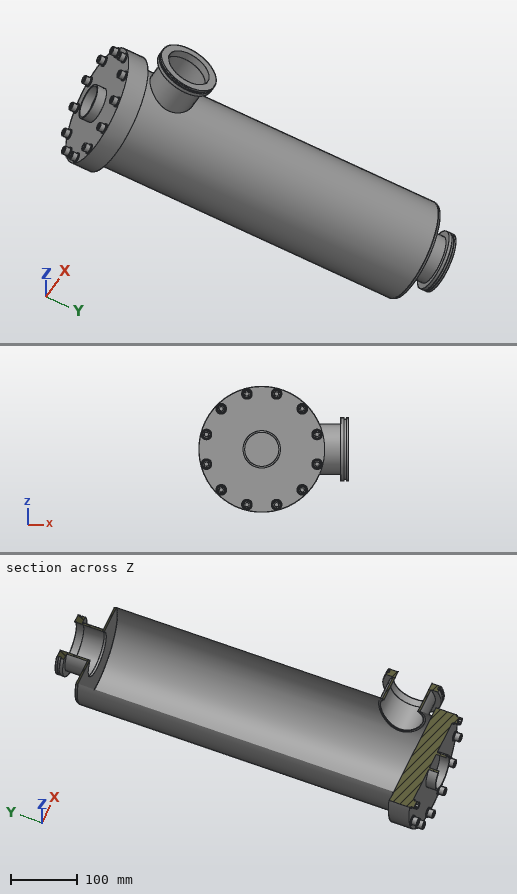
import cadquery as cq


BASE_DIAMETER = 189.0
BASE_THICKNESS = 33.5
BOSS_OUTER_DIAMETER = 56.0
BOSS_INNER_DIAMETER = 51.0
BOSS_HEIGHT = 15.0

SCREW_COUNT = 12
SCREW_CIRCLE_RADIUS = 86.0
WASHER_DIAMETER = 16.0
WASHER_THICKNESS = 2.0
HEAD_DIAMETER = 13.0
HEAD_HEIGHT = 9.0
SOCKET_SIDES = 6
SOCKET_ACROSS_FLATS = 6.0
HEAD_CHAMFER = 1.0
SOCKET_DEPTH = 5.0

SHELL_OUTER_DIAMETER = 159.0
SHELL_INNER_DIAMETER = 156.0
SHELL_END_Y = 545.0
END_PLATE_THICKNESS = 3.5

END_PIPE_OUTER_DIAMETER = 77.0
END_PIPE_INNER_DIAMETER = 70.5
SIDE_PIPE_OUTER_DIAMETER = 76.0
SIDE_PIPE_INNER_DIAMETER = 70.0
CLAMP_DIAMETER = 95.0
CLAMP_THICKNESS = 12.0
GROOVE_DIAMETER = 91.0
GROOVE_WIDTH = 3.5
GROOVE_FROM_FACE = 3.0
OVERALL_LENGTH = 609.0
SIDE_PORT_Y = 83.5
SIDE_PORT_REACH = 130.5

END_PORT_FACE_Y = OVERALL_LENGTH - BOSS_HEIGHT
END_PLATE_FACE_Y = SHELL_END_Y + END_PLATE_THICKNESS

ALONG_X = cq.Vector(1, 0, 0)
ALONG_Y = cq.Vector(0, 1, 0)


def cylinder(diameter, length, start, direction):
    """Solid cylinder that runs from the centre of its start face along the direction."""
    return cq.Workplane(cq.Solid.makeCylinder(diameter / 2, length, start, direction))


def ring(outer_diameter, inner_diameter, length, start, direction):
    """Cylinder with a bore right through it."""
    outside = cylinder(outer_diameter, length, start, direction)
    return outside.cut(cylinder(inner_diameter, length, start, direction))


def make_screw():
    """Washer and hexagon-socket head that stand on the base face, centred on the Y axis."""
    length = WASHER_THICKNESS + HEAD_HEIGHT
    washer = cylinder(WASHER_DIAMETER, WASHER_THICKNESS, cq.Vector(), -ALONG_Y)
    head = cylinder(HEAD_DIAMETER, length, cq.Vector(), -ALONG_Y).faces("<Y").chamfer(HEAD_CHAMFER)
    socket = (
        cq.Workplane("XZ", origin=(0, -length, 0))
        .polygon(SOCKET_SIDES, SOCKET_ACROSS_FLATS, circumscribed=True)
        .extrude(-SOCKET_DEPTH)
    )
    return washer.union(head).cut(socket)


def make_base():
    """Base disc, one piece with its boss ring and its circle of screws."""
    base = cylinder(BASE_DIAMETER, BASE_THICKNESS, cq.Vector(), ALONG_Y)
    base = base.union(ring(BOSS_OUTER_DIAMETER, BOSS_INNER_DIAMETER, BOSS_HEIGHT, cq.Vector(), -ALONG_Y))
    pitch = 360 / SCREW_COUNT
    screw = make_screw().translate((SCREW_CIRCLE_RADIUS, 0, 0))
    for i in range(SCREW_COUNT):
        base = base.union(screw.rotate((0, 0, 0), (0, 1, 0), (i + 0.5) * pitch))
    return base


def make_shell():
    """Long thin tube on the base, with the side port's opening in its wall."""
    start = cq.Vector(0, BASE_THICKNESS, 0)
    length = SHELL_END_Y - BASE_THICKNESS
    shell = ring(SHELL_OUTER_DIAMETER, SHELL_INNER_DIAMETER, length, start, ALONG_Y)
    opening = cylinder(SIDE_PIPE_INNER_DIAMETER, SIDE_PORT_REACH, cq.Vector(0, SIDE_PORT_Y, 0), ALONG_X)
    return shell.cut(opening)


def make_end_plate():
    """Plate that closes the end of the shell round the end port and tapers toward its outer face."""
    start = cq.Vector(0, SHELL_END_Y, 0)
    large_radius = SHELL_OUTER_DIAMETER / 2
    small_radius = SHELL_INNER_DIAMETER / 2
    cone = cq.Solid.makeCone(large_radius, small_radius, END_PLATE_THICKNESS, start, ALONG_Y)
    return cq.Workplane(cone).cut(cylinder(END_PIPE_INNER_DIAMETER, END_PLATE_THICKNESS, start, ALONG_Y))


def make_end_pipe():
    """Pipe from the end plate to its clamp flange."""
    length = END_PORT_FACE_Y - CLAMP_THICKNESS - END_PLATE_FACE_Y
    start = cq.Vector(0, END_PLATE_FACE_Y, 0)
    return ring(END_PIPE_OUTER_DIAMETER, END_PIPE_INNER_DIAMETER, length, start, ALONG_Y)


def make_side_pipe():
    """Pipe from the shell's outer surface, cut to a saddle there, to its clamp flange."""
    start = cq.Vector(0, SIDE_PORT_Y, 0)
    length = SIDE_PORT_REACH - CLAMP_THICKNESS
    pipe = ring(SIDE_PIPE_OUTER_DIAMETER, SIDE_PIPE_INNER_DIAMETER, length, start, ALONG_X)
    return pipe.cut(cylinder(SHELL_OUTER_DIAMETER, SHELL_END_Y, cq.Vector(), ALONG_Y))


def make_clamp_flange(bore_diameter, face_centre, outward):
    """Clamp flange with a groove round its rim; its open face points outward."""
    flange = ring(CLAMP_DIAMETER, bore_diameter, CLAMP_THICKNESS, face_centre, -outward)
    groove_start = face_centre - outward * GROOVE_FROM_FACE
    return flange.cut(ring(CLAMP_DIAMETER, GROOVE_DIAMETER, GROOVE_WIDTH, groove_start, -outward))


base = make_base()
shell = make_shell()
end_plate = make_end_plate()
end_pipe = make_end_pipe()
side_pipe = make_side_pipe()
clamp_flanges = [
    make_clamp_flange(END_PIPE_INNER_DIAMETER, cq.Vector(0, END_PORT_FACE_Y, 0), ALONG_Y),
    make_clamp_flange(SIDE_PIPE_INNER_DIAMETER, cq.Vector(SIDE_PORT_REACH, SIDE_PORT_Y, 0), ALONG_X),
]

result = cq.Compound.makeCompound(
    [
        base.val(),
        shell.val(),
        end_plate.val(),
        end_pipe.val(),
        side_pipe.val(),
        *[flange.val() for flange in clamp_flanges],
    ]
)